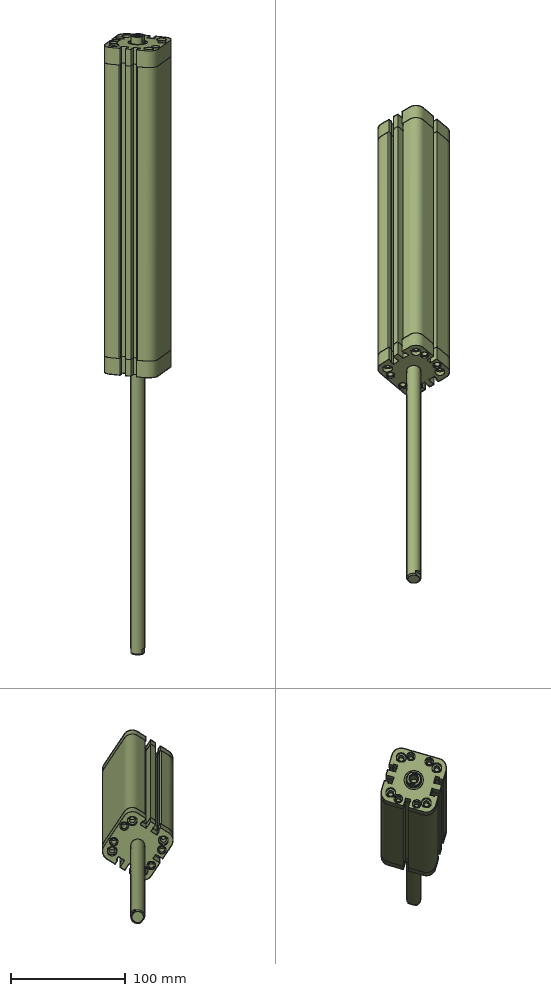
import cadquery as cq

total_length = 557.0
width = 49.0
corner_radius = 8.5

rod_above_cap = 6.0
rod_below_cap = 256.0
cap_length = 15.0
lower_cap_z = rod_below_cap
tube_z = lower_cap_z + cap_length
upper_cap_z = total_length - rod_above_cap - cap_length
tube_length = upper_cap_z - tube_z

rod_diameter = 12.0
rod_end_chamfer = 1.0
flats_width = 10.0
flats_length = 4.5
thread_diameter = 6.5
thread_depth = 20.0
thread_countersink_diameter = 8.5
countersink_angle = 90

bore_diameter = 32.0
seal_diameter = 16.5
seal_length = 3.0
seal_mouth_diameter = 14.0

slot_depth = 7.0
rib_half_width = 2.5
slot_mouth_width = 5.0
slot_undercut = 1.0
lip_thickness = 3.6
lip_chamfer = 1.0

side_slot_width = 4.5

corner_hole_offset = 16.0
corner_hole_diameter = 5.2
corner_counterbore_diameter = 8.5
corner_counterbore_depth = 4.5
side_hole_x = 19.5
side_hole_y = 8.5
side_hole_diameter = 4.9
side_counterbore_diameter = 7.0
side_counterbore_depth = 1.5

half_width = width / 2
slot_floor = half_width - slot_depth
lip_underside = half_width - lip_thickness
mouth_edge = rib_half_width + slot_mouth_width
undercut_edge = mouth_edge + slot_undercut
rod_radius = rod_diameter / 2
seal_z = upper_cap_z + cap_length - seal_length
mirrored = [(x, y) for x in (-1, 1) for y in (-1, 1)]


def prism_at_each_slot(outline, z, length):
    """Upright prisms on an outline given for the +X +Y slot, repeated at all four lip slots."""
    prisms = cq.Workplane().workplane(offset=z)
    for sx, sy in mirrored:
        prisms = prisms.polyline([(sx * x, sy * y) for x, y in outline]).close()
    return prisms.extrude(length)


def slotted_block(z, length):
    """Rounded square bar with four undercut slots and one plain slot on the -X side."""
    block = (
        cq.Workplane().workplane(offset=z)
        .rect(width, width).extrude(length)
        .edges("|Z").fillet(corner_radius)
    )
    slot_outline = [
        (rib_half_width, half_width),
        (mouth_edge, half_width),
        (mouth_edge, lip_underside),
        (undercut_edge, lip_underside),
        (undercut_edge, slot_floor),
        (rib_half_width, slot_floor),
    ]
    side_slot = (
        cq.Workplane().workplane(offset=z)
        .center(-half_width + slot_depth / 2, 0)
        .rect(slot_depth, side_slot_width).extrude(length)
    )
    return block.cut(prism_at_each_slot(slot_outline, z, length)).cut(side_slot)


def make_tube():
    """Slotted tube with chamfered slot lips and a round bore."""
    lip_corner = [
        (mouth_edge, half_width),
        (mouth_edge + lip_chamfer, half_width),
        (mouth_edge, half_width - lip_chamfer),
    ]
    bore = cq.Workplane().workplane(offset=tube_z).circle(bore_diameter / 2).extrude(tube_length)
    return (
        slotted_block(tube_z, tube_length)
        .cut(prism_at_each_slot(lip_corner, tube_z, tube_length))
        .cut(bore)
    )


def make_cap():
    """End cap standing on Z = 0, with its screw holes sunk in the upper face."""
    corner_holes = [(sx * corner_hole_offset, sy * corner_hole_offset) for sx, sy in mirrored]
    side_holes = [(sx * side_hole_x, sy * side_hole_y) for sx, sy in mirrored]
    return (
        slotted_block(0, cap_length)
        .faces(">Z").workplane(origin=(0, 0, 0))
        .pushPoints(corner_holes)
        .cboreHole(corner_hole_diameter, corner_counterbore_diameter, corner_counterbore_depth)
        .faces(">Z").workplane(origin=(0, 0, 0))
        .pushPoints(side_holes)
        .cboreHole(side_hole_diameter, side_counterbore_diameter, side_counterbore_depth)
        .faces(">Z").workplane(origin=(0, 0, 0))
        .hole(rod_diameter)
    )


def make_lower_cap():
    """Cap turned over, so that its screw holes face down."""
    return make_cap().mirror("XY").translate((0, 0, tube_z))


def make_upper_cap():
    """Cap with a recess for the seal ring."""
    recess = cq.Workplane().workplane(offset=seal_z).circle(seal_diameter / 2).extrude(seal_length)
    return make_cap().translate((0, 0, upper_cap_z)).cut(recess)


def make_seal():
    """Ring around the rod, flush with the upper cap, its inner edge widened to a cone."""
    return (
        cq.Workplane().workplane(offset=seal_z).circle(seal_diameter / 2).extrude(seal_length)
        .faces(">Z").workplane()
        .cskHole(rod_diameter, seal_mouth_diameter, countersink_angle)
    )


def make_flats_cutter():
    """Pair of wedges that leave a sloping shoulder above the wrench flats of the lower end."""
    half_flats = flats_width / 2
    rise = rod_radius - half_flats
    profile = [
        (half_flats, 0),
        (half_flats, flats_length),
        (rod_radius, flats_length + rise),
        (rod_radius, 0),
    ]
    wedge = cq.Workplane("XZ").polyline(profile).close().extrude(rod_radius, both=True)
    return wedge.union(wedge.mirror("YZ"))


def make_rod():
    """Rod through the whole part, with wrench flats at both ends and a threaded hole in the top."""
    rod = (
        cq.Workplane().circle(rod_radius).extrude(total_length)
        .faces("<Z").chamfer(rod_end_chamfer)
        .faces(">Z").workplane()
        .cskHole(thread_diameter, thread_countersink_diameter, countersink_angle, thread_depth)
    )
    lower_flats = make_flats_cutter()
    upper_flats = lower_flats.mirror("XY").translate((0, 0, total_length))
    return rod.cut(lower_flats).cut(upper_flats)


tube = make_tube()
lower_cap = make_lower_cap()
upper_cap = make_upper_cap()
seal = make_seal()
rod = make_rod()

result = cq.Compound.makeCompound(
    [tube.val(), lower_cap.val(), upper_cap.val(), seal.val(), rod.val()]
)